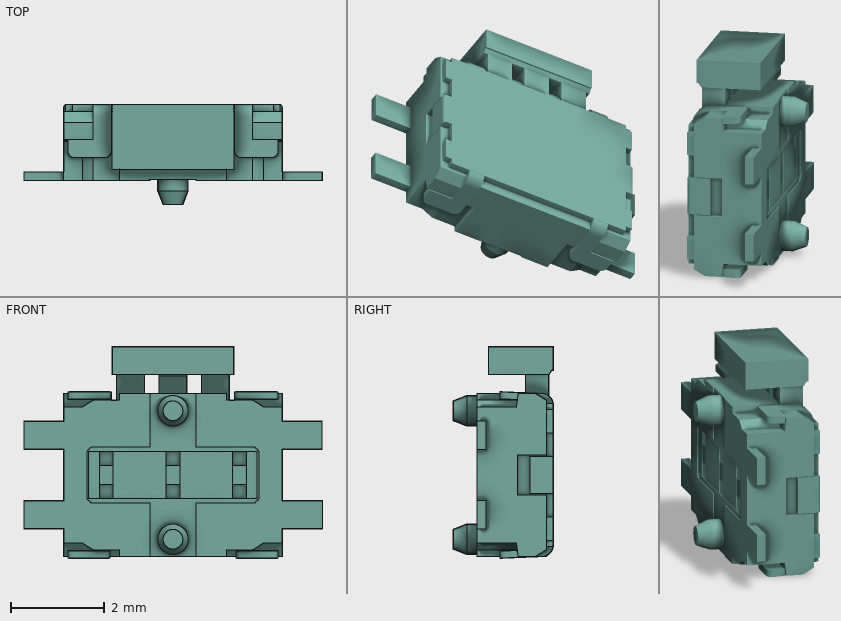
import cadquery as cq


HALF_WIDTH = 2.34
HALF_HEIGHT = 1.75
HOUSING_BACK = 1.485
BACK = 1.64
SHEET = BACK - HOUSING_BACK

RIM_HALF_WIDTH = 1.145
FLOOR_Z = 1.605
CORNER_Z = 1.46
CORNER_INNER_X = 1.94
BLOCK_INNER_X = 1.71
BLOCK_FRONT = 0.845
BLOCK_DRAFT = 0.04
BLOCK_CHAMFER_Y = 1.25

RELIEF_DEPTH = 0.025
RELIEF_STRIP_WIDTH = 0.985
RELIEF_WIDTH = 3.685
RELIEF_HEIGHT = 1.21
RELIEF_CHAMFER = 0.095
PANEL_WIDTH = 3.61
PANEL_HEIGHT = 1.005
PANEL_DEPTH = 0.04
SLOT_WIDTH = 0.295
SLOT_PITCH = 1.43
SLOT_DEPTH = 0.19
BAR_HEIGHT = 0.41
BAR_DEPTH = 0.06

PIN_DIAMETER = 0.65
PIN_TIP_DIAMETER = 0.42
PIN_SHOULDER = 0.22
PIN_LENGTH = 0.51
PIN_Z = 1.375

LEAD_TIP = 3.195
LEAD_EXTRA = 0.01
LEAD_HEIGHT = 0.6
LEAD_THICKNESS = 0.19
LEAD_Z = 0.85

COVER_HALF_WIDTH = 2.15
COVER_HALF_HEIGHT = 1.535
TAB_HALF_WIDTH = 2.3
TAB_HEIGHT = 0.51
TAB_Z = 1.15
CLIP_FRONT = 1.13
CLIP_HEIGHT = 0.79
CLIP_RADIUS = 0.08
POCKET_FRONT = 0.865
POCKET_HEIGHT = 0.85

HOOK_TOP_INNER_X = 1.32
HOOK_BOTTOM_INNER_X = 1.35
HOOK_OUTER_X = 2.25
HOOK_STEM_OUTER_X = 1.71
HOOK_FRONT = 0.49
HOOK_STEP_Y = 0.88
HOOK_TIP_Z = 1.785
HOOK_TIP_RADIUS = 0.14
BEND_RADIUS = 0.255

KNOB_WIDTH = 2.605
KNOB_FRONT = 0.24
KNOB_TOP = 2.75
KNOB_BOTTOM = 2.15
KNOB_NOTCH_Z = 2.24
KNOB_NOTCH_FLAT = 0.04
LEG_WIDTH = 0.6
LEG_PITCH = 0.91
LEG_FRONT = 1.04
LEG_BACK = 1.54
LEG_TOP_CHAMFER = 0.03


def box(x0, x1, y0, y1, z0, z1):
    """Box between two opposite corners."""
    return cq.Workplane("XY").box(x1 - x0, y1 - y0, z1 - z0, centered=False).translate((x0, y0, z0))


def centred_box(width, y0, y1, height, x=0, z=0):
    """Box centred on (x, z) that runs from y0 to y1."""
    return box(x - width / 2, x + width / 2, y0, y1, z - height / 2, z + height / 2)


def mirrored_x(solid):
    return solid.union(solid.mirror("YZ"))


def mirrored_z(solid):
    return solid.union(solid.mirror("XY"))


def housing():
    quarter = (
        cq.Workplane("XZ")
        .polyline([
            (0, 0),
            (HALF_WIDTH, 0),
            (HALF_WIDTH, CORNER_Z),
            (CORNER_INNER_X, CORNER_Z),
            (BLOCK_INNER_X, FLOOR_Z),
            (RIM_HALF_WIDTH, FLOOR_Z),
            (RIM_HALF_WIDTH, HALF_HEIGHT),
            (0, HALF_HEIGHT),
        ])
        .close()
        .extrude(-HOUSING_BACK)
    )
    corner_block = (
        cq.Workplane("YZ", origin=(BLOCK_INNER_X, 0, 0))
        .polyline([
            (BLOCK_FRONT, 0),
            (BLOCK_FRONT, CORNER_Z),
            (BLOCK_FRONT + BLOCK_DRAFT, HALF_HEIGHT),
            (BLOCK_CHAMFER_Y, HALF_HEIGHT),
            (HOUSING_BACK, FLOOR_Z),
            (HOUSING_BACK, 0),
        ])
        .close()
        .extrude(HALF_WIDTH - BLOCK_INNER_X)
    )
    body = mirrored_z(mirrored_x(quarter.union(corner_block)))
    sill_x = HOOK_BOTTOM_INNER_X
    body = body.union(box(-sill_x, sill_x, BLOCK_FRONT, HOUSING_BACK, -HALF_HEIGHT, -FLOOR_Z))
    for side in (-1, 1):
        pocket_x = side * (HALF_WIDTH - SHEET / 2)
        body = body.cut(centred_box(SHEET, POCKET_FRONT, HOUSING_BACK, POCKET_HEIGHT, pocket_x))
    return body


def face_relief():
    """Shallow cross-shaped recess with a panel, three deep slots and a bar across each slot."""
    strip = centred_box(RELIEF_STRIP_WIDTH, 0, RELIEF_DEPTH, 2 * HALF_HEIGHT)
    field = centred_box(RELIEF_WIDTH, 0, RELIEF_DEPTH, RELIEF_HEIGHT).edges("|Y").chamfer(RELIEF_CHAMFER)
    relief = strip.union(field).union(centred_box(PANEL_WIDTH, 0, PANEL_DEPTH, PANEL_HEIGHT))
    for i in (-1, 0, 1):
        slot = centred_box(SLOT_WIDTH, 0, SLOT_DEPTH, PANEL_HEIGHT, i * SLOT_PITCH)
        bar = centred_box(SLOT_WIDTH, BAR_DEPTH, SLOT_DEPTH, BAR_HEIGHT, i * SLOT_PITCH)
        relief = relief.union(slot.cut(bar))
    return relief


def pins():
    profile = [
        (0, RELIEF_DEPTH),
        (PIN_DIAMETER / 2, RELIEF_DEPTH),
        (PIN_DIAMETER / 2, -PIN_SHOULDER),
        (PIN_TIP_DIAMETER / 2, -PIN_LENGTH),
        (0, -PIN_LENGTH),
    ]
    pin = cq.Workplane("XY").polyline(profile).close().revolve(360, (0, 0, 0), (0, 1, 0))
    return mirrored_z(pin.translate((0, 0, PIN_Z)))


def leads():
    low, high = LEAD_Z - LEAD_HEIGHT / 2, LEAD_Z + LEAD_HEIGHT / 2
    upper = box(HALF_WIDTH, LEAD_TIP, 0, LEAD_THICKNESS, low, high)
    extension = box(LEAD_TIP, LEAD_TIP + LEAD_EXTRA, 0, LEAD_THICKNESS, -high, -low)
    return mirrored_z(mirrored_x(upper)).union(extension)


def hook(inner_x):
    """L-shaped hook on the +X side that bends forward over the top edge, with a slight rise to its tip."""
    rise = HOOK_TIP_Z - HALF_HEIGHT
    bend_y = BACK - BEND_RADIUS
    bend_z = HALF_HEIGHT - BEND_RADIUS
    inner_radius = BEND_RADIUS - SHEET
    diagonal = 0.5 ** 0.5
    strip = (
        cq.Workplane("YZ")
        .moveTo(BACK, bend_z)
        .threePointArc(
            (bend_y + BEND_RADIUS * diagonal, bend_z + BEND_RADIUS * diagonal),
            (bend_y, HALF_HEIGHT),
        )
        .lineTo(HOOK_FRONT, HALF_HEIGHT + rise)
        .lineTo(HOOK_FRONT, HALF_HEIGHT + rise - SHEET)
        .lineTo(bend_y, HALF_HEIGHT - SHEET)
        .threePointArc(
            (bend_y + inner_radius * diagonal, bend_z + inner_radius * diagonal),
            (HOUSING_BACK, bend_z),
        )
        .close()
        .extrude(HOOK_OUTER_X)
    )
    tip = box(inner_x, HOOK_OUTER_X, HOOK_FRONT, HOOK_STEP_Y, 0, HOOK_TIP_Z)
    tip = tip.edges("|Z and <Y").fillet(HOOK_TIP_RADIUS)
    stem = box(inner_x, HOOK_STEM_OUTER_X, HOOK_STEP_Y, BACK, 0, HOOK_TIP_Z)
    return strip.intersect(tip.union(stem))


def cover():
    plate = centred_box(2 * COVER_HALF_WIDTH, HOUSING_BACK, BACK, 2 * COVER_HALF_HEIGHT)
    tab = centred_box(2 * TAB_HALF_WIDTH, HOUSING_BACK, BACK, TAB_HEIGHT, z=TAB_Z)
    clip = centred_box(2 * HALF_WIDTH, CLIP_FRONT, BACK, CLIP_HEIGHT)
    clip = clip.edges("|Z and >Y").fillet(CLIP_RADIUS)
    clip = clip.cut(centred_box(2 * (HALF_WIDTH - SHEET), CLIP_FRONT, HOUSING_BACK, CLIP_HEIGHT))
    hooks = mirrored_x(hook(HOOK_TOP_INNER_X).union(hook(HOOK_BOTTOM_INNER_X).mirror("XY")))
    return plate.union(mirrored_z(tab)).union(clip).union(hooks)


def slider():
    knob = (
        cq.Workplane("YZ")
        .polyline([
            (KNOB_FRONT, KNOB_BOTTOM),
            (LEG_BACK, KNOB_BOTTOM),
            (BACK - KNOB_NOTCH_FLAT, KNOB_NOTCH_Z),
            (BACK, KNOB_NOTCH_Z),
            (BACK, KNOB_TOP),
            (KNOB_FRONT, KNOB_TOP),
        ])
        .close()
        .extrude(KNOB_WIDTH / 2, both=True)
    )
    for i in (-1, 0, 1):
        x = i * LEG_PITCH
        leg = box(x - LEG_WIDTH / 2, x + LEG_WIDTH / 2, LEG_FRONT, LEG_BACK, COVER_HALF_HEIGHT, KNOB_BOTTOM)
        if i == 0:
            leg = leg.edges(">Z and <Y").chamfer(LEG_TOP_CHAMFER)
        knob = knob.union(leg)
    return knob


result = housing().cut(face_relief())
for piece in (pins(), leads(), cover(), slider()):
    result = result.union(piece)